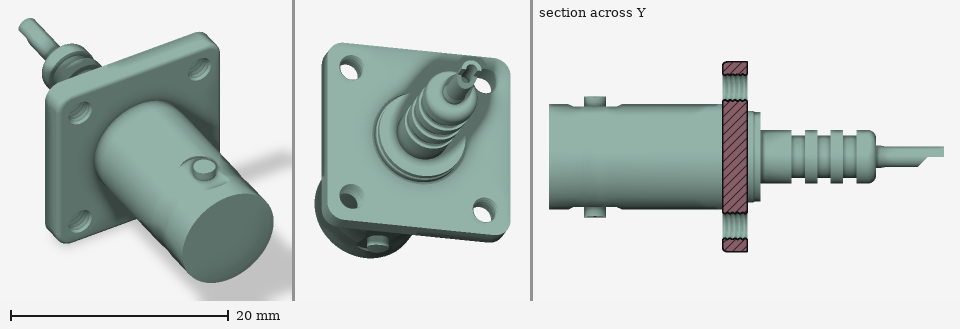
import cadquery as cq
import math

LENGTH = 36.28
TIP_X = -LENGTH / 2
END_X = LENGTH / 2

CUP_RADIUS = 0.95
CUP_LENGTH = 5.37
CUP_BORE_RADIUS = 0.55
CUP_BORE_DEPTH = 3.25
CUP_BORE_TIP_ANGLE = 118.0
CUP_OPENING_LENGTH = 1.5
CUP_RAMP_ANGLE = 45.0

NECK_RADIUS = 1.05
NECK_TAPER_LENGTH = 0.58
NECK_LENGTH = 0.3
SLEEVE_RADIUS = 2.45
SLEEVE_NOSE_FILLET = 0.8
SLEEVE_LENGTH = 10.6
SLEEVE_GROOVE_RADIUS = 1.95
SLEEVE_GROOVE_WIDTH = 1.25
SLEEVE_GROOVE_PITCH = 2.35
SLEEVE_GROOVE_COUNT = 3
FIRST_GROOVE_OFFSET = 1.8

COLLAR_RADIUS = 4.2
COLLAR_LENGTH = 0.5
COLLAR_CHAMFER = 0.15
COLLAR_RIM_RADIUS = 4.1
COLLAR_RIM_LENGTH = 0.55

FLANGE_SIZE = 17.45
FLANGE_THICKNESS = 2.32
FLANGE_CORNER_RADIUS = 1.6
FLANGE_FRONT_FILLET = 0.45
RECESS_RADIUS = 4.45
RECESS_DEPTH = 0.1

HOLE_SPACING = 12.7
THREAD_MAJOR_RADIUS = 1.25
THREAD_MINOR_RADIUS = 1.1
THREAD_GROOVE_COUNT = 5

BARREL_RADIUS = 4.85
BARREL_GROOVE_WIDTH = 2.4
BARREL_GROOVE_DEPTH = 0.08
PIN_FROM_END = 4.25
PIN_RADIUS = 1.0
PIN_TIP_RADIUS = 5.55
PIN_SEAT_RADIUS = 2.5
PIN_SEAT_HEIGHT = 4.6

taper_x = TIP_X + CUP_LENGTH
neck_x = taper_x + NECK_TAPER_LENGTH
sleeve_x = neck_x + NECK_LENGTH
rim_x = sleeve_x + SLEEVE_LENGTH
collar_chamfer_x = rim_x + COLLAR_RIM_LENGTH
collar_x = collar_chamfer_x + COLLAR_CHAMFER
flange_x = collar_x + COLLAR_LENGTH
barrel_x = flange_x + FLANGE_THICKNESS
pin_x = END_X - PIN_FROM_END


def cylinder(start_x, end_x, radius):
    """Solid cylinder on the connector axis."""
    return cq.Workplane("YZ", origin=(start_x, 0, 0)).circle(radius).extrude(end_x - start_x)


def ring(start_x, end_x, inner_radius, outer_radius):
    """Ring on the connector axis, used to cut grooves."""
    section = cq.Workplane("YZ", origin=(start_x, 0, 0)).circle(outer_radius).circle(inner_radius)
    return section.extrude(end_x - start_x)


def revolve_about_x(outline):
    """Full turn of a closed XY outline about the X axis."""
    return outline.close().revolve(360, (0, 0, 0), (1, 0, 0))


def solder_cup():
    """Wire cup and tapered neck, with a drilled bore and the lower half of the tip cut away."""
    body = revolve_about_x(
        cq.Workplane("XY")
        .moveTo(TIP_X, 0)
        .lineTo(TIP_X, CUP_RADIUS)
        .lineTo(taper_x, CUP_RADIUS)
        .lineTo(neck_x, NECK_RADIUS)
        .lineTo(sleeve_x, NECK_RADIUS)
        .lineTo(sleeve_x, 0)
    )
    bore_end_x = TIP_X + CUP_BORE_DEPTH
    bore_cone_length = CUP_BORE_RADIUS / math.tan(math.radians(CUP_BORE_TIP_ANGLE / 2))
    bore = revolve_about_x(
        cq.Workplane("XY")
        .moveTo(TIP_X, 0)
        .lineTo(TIP_X, CUP_BORE_RADIUS)
        .lineTo(bore_end_x, CUP_BORE_RADIUS)
        .lineTo(bore_end_x + bore_cone_length, 0)
    )
    opening_x = TIP_X + CUP_OPENING_LENGTH
    opening_depth = NECK_RADIUS
    ramp_length = opening_depth / math.tan(math.radians(CUP_RAMP_ANGLE))
    opening = (
        cq.Workplane("XZ")
        .moveTo(TIP_X, 0)
        .lineTo(opening_x, 0)
        .lineTo(opening_x + ramp_length, -opening_depth)
        .lineTo(TIP_X, -opening_depth)
        .close()
        .extrude(CUP_RADIUS, both=True)
    )
    return body.cut(bore).cut(opening)


def sleeve():
    """Round-nosed sleeve with evenly spaced grooves."""
    body = cylinder(sleeve_x, rim_x, SLEEVE_RADIUS).faces("<X").edges().fillet(SLEEVE_NOSE_FILLET)
    for index in range(SLEEVE_GROOVE_COUNT):
        start_x = sleeve_x + FIRST_GROOVE_OFFSET + index * SLEEVE_GROOVE_PITCH
        body = body.cut(ring(start_x, start_x + SLEEVE_GROOVE_WIDTH, SLEEVE_GROOVE_RADIUS, SLEEVE_RADIUS))
    return body


def collar():
    """Slimmer rim that meets the collar through a short chamfer."""
    return revolve_about_x(
        cq.Workplane("XY")
        .moveTo(rim_x, 0)
        .lineTo(rim_x, COLLAR_RIM_RADIUS)
        .lineTo(collar_chamfer_x, COLLAR_RIM_RADIUS)
        .lineTo(collar_x, COLLAR_RADIUS)
        .lineTo(flange_x, COLLAR_RADIUS)
        .lineTo(flange_x, 0)
    )


def threaded_hole_cutter():
    """Hole through the flange with ring-shaped V threads, starting and ending at a thread root."""
    half_pitch = FLANGE_THICKNESS / THREAD_GROOVE_COUNT / 2
    outline = cq.Workplane("XY").moveTo(flange_x, 0).lineTo(flange_x, THREAD_MAJOR_RADIUS)
    for index in range(THREAD_GROOVE_COUNT):
        crest_x = flange_x + (2 * index + 1) * half_pitch
        outline = outline.lineTo(crest_x, THREAD_MINOR_RADIUS)
        outline = outline.lineTo(crest_x + half_pitch, THREAD_MAJOR_RADIUS)
    return revolve_about_x(outline.lineTo(barrel_x, 0))


def flange():
    """Square plate with rounded corners, four threaded holes and a shallow recess around the collar."""
    plate = (
        cq.Workplane("YZ", origin=(flange_x, 0, 0))
        .rect(FLANGE_SIZE, FLANGE_SIZE)
        .extrude(FLANGE_THICKNESS)
        .edges("|X")
        .fillet(FLANGE_CORNER_RADIUS)
        .faces(">X")
        .edges()
        .fillet(FLANGE_FRONT_FILLET)
    )
    cutter = threaded_hole_cutter()
    for side_y in (-1, 1):
        for side_z in (-1, 1):
            plate = plate.cut(cutter.translate((0, side_y * HOLE_SPACING / 2, side_z * HOLE_SPACING / 2)))
    return plate.cut(ring(flange_x, flange_x + RECESS_DEPTH, COLLAR_RADIUS, RECESS_RADIUS))


def barrel():
    """Barrel with a shallow arc groove and two opposite bayonet pins standing on round seats."""
    half_groove = BARREL_GROOVE_WIDTH / 2
    body = revolve_about_x(
        cq.Workplane("XY")
        .moveTo(barrel_x, 0)
        .lineTo(barrel_x, BARREL_RADIUS)
        .lineTo(pin_x - half_groove, BARREL_RADIUS)
        .threePointArc((pin_x, BARREL_RADIUS - BARREL_GROOVE_DEPTH), (pin_x + half_groove, BARREL_RADIUS))
        .lineTo(END_X, BARREL_RADIUS)
        .lineTo(END_X, 0)
    )
    pin_axis = cq.Workplane("XY", origin=(pin_x, 0, 0))
    seat = pin_axis.workplane(offset=PIN_SEAT_HEIGHT).circle(PIN_SEAT_RADIUS).extrude(BARREL_RADIUS)
    body = body.cut(seat).cut(seat.mirror("XY"))
    pin_limit = cylinder(pin_x - PIN_RADIUS, pin_x + PIN_RADIUS, PIN_TIP_RADIUS)
    pins = pin_axis.circle(PIN_RADIUS).extrude(PIN_TIP_RADIUS, both=True).intersect(pin_limit)
    return body.union(pins)


result = solder_cup().union(sleeve()).union(collar()).union(flange()).union(barrel())